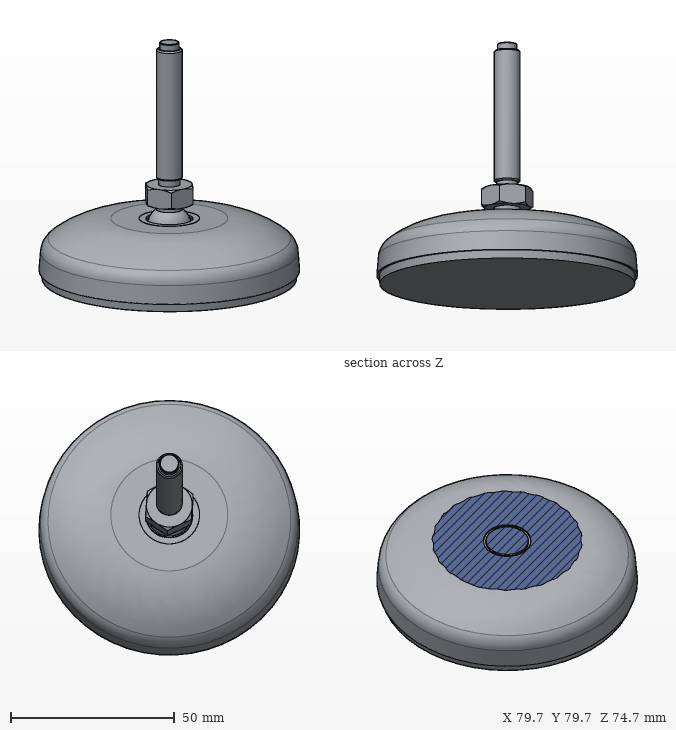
import cadquery as cq
import math

LIP_Z = 2.55
SHOULDER_Z = 8.45
DOME_EDGE_Z = 12.6
FOOT_TOP_Z = 18.95
COLLAR_Z = 21.8
NUT_Z = 23.65
THREAD_Z = 31.6
TIP_Z = 72.65
TOTAL_HEIGHT = 74.7

FOOT_DIAMETER = 79.65
PAD_BOTTOM_DIAMETER = 77.9
PAD_TOP_DIAMETER = 78.2
SHOULDER_DIAMETER = 78.7
DOME_EDGE_DIAMETER = 74.1
FLAT_DIAMETER = 35.7

RECESS_DIAMETER = 18.5
RECESS_DEPTH = 0.1
SOCKET_DIAMETER = 14.3
SOCKET_DEPTH = 0.8
BALL_DIAMETER = 13.7

STEM_DIAMETER = 8.0
NECK_DIAMETER = 6.5
TIP_DIAMETER = 6.0
THREAD_CHAMFER = 0.5
TIP_CHAMFER = 0.2

NUT_HEIGHT = 6.05
NUT_ACROSS_FLATS = 14.0
NUT_CHAMFER_ANGLE = 30.0


def cylinder(diameter, bottom, top):
    return cq.Workplane("XY").workplane(offset=bottom).circle(diameter / 2).extrude(top - bottom)


def make_foot():
    """Pad, tapered wall, shoulder and dome turned about the Z axis."""
    profile = (
        cq.Workplane("XZ")
        .moveTo(0, FOOT_TOP_Z)
        .lineTo(FLAT_DIAMETER / 2, FOOT_TOP_Z)
        .tangentArcPoint((DOME_EDGE_DIAMETER / 2, DOME_EDGE_Z), relative=False)
        .tangentArcPoint((SHOULDER_DIAMETER / 2, SHOULDER_Z), relative=False)
        .lineTo(FOOT_DIAMETER / 2, LIP_Z)
        .lineTo(PAD_TOP_DIAMETER / 2, LIP_Z)
        .lineTo(PAD_BOTTOM_DIAMETER / 2, 0)
        .lineTo(0, 0)
        .close()
    )
    foot = profile.revolve(360, (0, 0, 0), (0, 1, 0))
    recess_floor = FOOT_TOP_Z - RECESS_DEPTH
    recess = cylinder(RECESS_DIAMETER, recess_floor, FOOT_TOP_Z)
    socket = cylinder(SOCKET_DIAMETER, FOOT_TOP_Z - SOCKET_DEPTH, FOOT_TOP_Z)
    return foot.cut(recess).cut(socket)


def make_ball():
    """Ball whose surface reaches the stem diameter at the collar height."""
    rise = math.sqrt(BALL_DIAMETER**2 - STEM_DIAMETER**2) / 2
    return cq.Workplane("XY").sphere(BALL_DIAMETER / 2).translate((0, 0, COLLAR_Z - rise))


def make_nut():
    """Hexagon with its corners bevelled by a cone at both ends."""
    corner_diameter = NUT_ACROSS_FLATS / math.cos(math.radians(30))
    corner_overhang = (corner_diameter - NUT_ACROSS_FLATS) / 2
    corner_drop = corner_overhang * math.tan(math.radians(NUT_CHAMFER_ANGLE))
    base = cq.Workplane("XY").workplane(offset=NUT_Z)
    hexagon = base.polygon(6, corner_diameter).extrude(NUT_HEIGHT)
    bevel = (
        cylinder(corner_diameter, NUT_Z, NUT_Z + NUT_HEIGHT)
        .faces("<Z or >Z")
        .chamfer(corner_drop, corner_overhang)
    )
    return hexagon.intersect(bevel)


def make_stem():
    """Collar, relief neck, threaded shank and pilot tip."""
    collar = cylinder(STEM_DIAMETER, COLLAR_Z, NUT_Z)
    neck = cylinder(NECK_DIAMETER, NUT_Z, THREAD_Z)
    shank = cylinder(STEM_DIAMETER, THREAD_Z, TIP_Z).faces("<Z or >Z").chamfer(THREAD_CHAMFER)
    tip = cylinder(TIP_DIAMETER, TIP_Z, TOTAL_HEIGHT).faces(">Z").chamfer(TIP_CHAMFER)
    return collar.union(neck).union(shank).union(tip)


result = make_foot().union(make_ball()).union(make_stem()).union(make_nut())